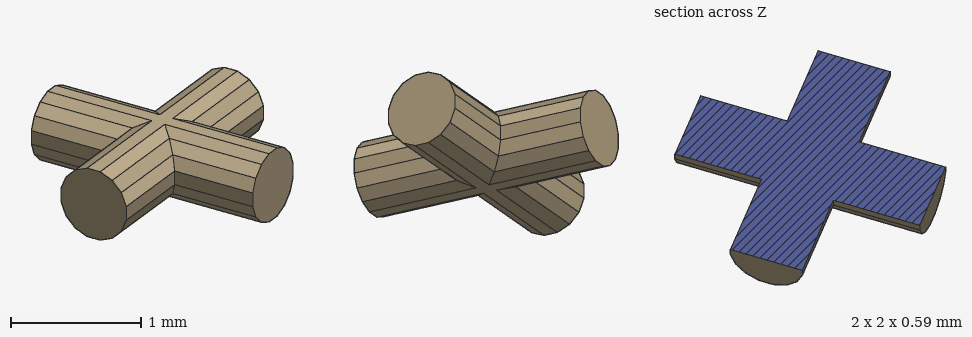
import cadquery as cq
import math

bar_length = 2.0
width_across_flats = 0.59
side_count = 16

half_facet_angle = 180.0 / side_count
width_across_corners = width_across_flats / math.cos(math.radians(half_facet_angle))


def faceted_bar(plane):
    """Regular prism centred on the origin, with flats facing the plane's axes."""
    return (
        cq.Workplane(plane)
        .transformed(rotate=(0, 0, half_facet_angle))
        .polygon(side_count, width_across_corners)
        .extrude(bar_length / 2, both=True)
    )


bar_along_x = faceted_bar("YZ")
bar_along_y = faceted_bar("XZ")
result = bar_along_x.union(bar_along_y, clean=True)